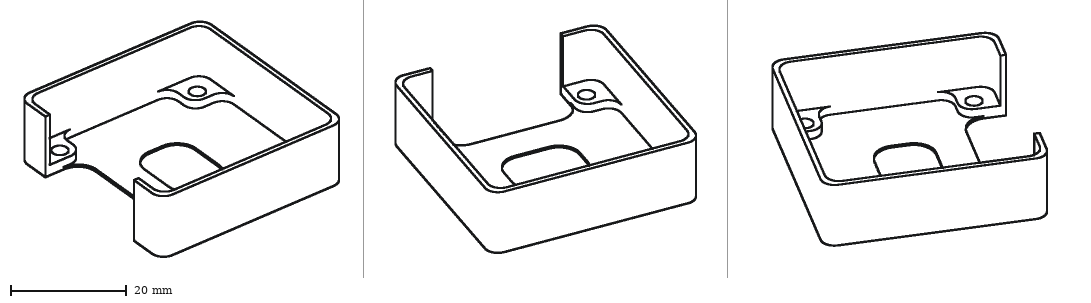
import cadquery as cq

outer_size = 40.2
height = 12.6
wall = 1.0
floor_thickness = 0.5
corner_radius = 2.5
inner_size = outer_size - 2 * wall
inner_half = inner_size / 2

hole_offset = 15.0
hole_diameter = 3.0
pad_top = 2.2
pad_inner_x = 12.5
pad_inner_y = 12.1
pad_radius = 2.5

notch_radius = 4.0

recess_length = 14.5
recess_width = 11.0
recess_radius = 4.0
recess_depth = 0.4


def rounded_block(length, width, radius, bottom, top):
    """Upright block centred on the Z axis with rounded vertical edges."""
    block = cq.Workplane("XY").workplane(offset=bottom).rect(length, width).extrude(top - bottom)
    return block.edges("|Z").fillet(radius)


def tray():
    shell = rounded_block(outer_size, outer_size, corner_radius, 0, height)
    cavity = rounded_block(inner_size, inner_size, corner_radius, floor_thickness, height)
    return shell.cut(cavity)


def notch():
    """Cutter open towards -Y, with rounded inner corners."""
    depth = outer_size / 2 - pad_inner_y
    cutter = (
        cq.Workplane("XY")
        .center(0, -pad_inner_y - depth / 2)
        .rect(2 * pad_inner_x, depth)
        .extrude(height)
    )
    return cutter.edges("|Z and >Y").fillet(notch_radius)


def corner_pad():
    """Pad in the +X +Y corner: a rounded inner corner that flares out to meet both walls."""
    r = pad_radius
    outer = inner_half + wall / 2
    profile = (
        cq.Workplane("XY")
        .moveTo(outer, outer)
        .lineTo(pad_inner_x - r, outer)
        .lineTo(pad_inner_x - r, inner_half)
        .radiusArc((pad_inner_x, inner_half - r), r)
        .lineTo(pad_inner_x, pad_inner_y + r)
        .radiusArc((pad_inner_x + r, pad_inner_y), -r)
        .lineTo(inner_half - r, pad_inner_y)
        .radiusArc((inner_half, pad_inner_y - r), r)
        .lineTo(outer, pad_inner_y - r)
        .close()
    )
    pad = profile.extrude(pad_top)
    return pad.intersect(rounded_block(outer_size, outer_size, corner_radius, 0, pad_top))


def mounting_pads():
    """The corner pad mirrored into all four corners, with the front pair trimmed by the notch."""
    right_rear = corner_pad()
    rear = right_rear.union(right_rear.mirror("YZ"))
    front_trim = (
        cq.Workplane("XY")
        .center(0, -outer_size / 2)
        .rect(2 * pad_inner_x, outer_size)
        .extrude(pad_top)
    )
    front = rear.mirror("XZ").cut(front_trim)
    return rear.union(front)


def mounting_holes():
    return (
        cq.Workplane("XY")
        .rect(2 * hole_offset, 2 * hole_offset, forConstruction=True)
        .vertices()
        .circle(hole_diameter / 2)
        .extrude(pad_top)
    )


def floor_recess():
    return rounded_block(
        recess_length, recess_width, recess_radius, floor_thickness - recess_depth, floor_thickness
    )


result = tray().cut(notch()).union(mounting_pads()).cut(mounting_holes()).cut(floor_recess())